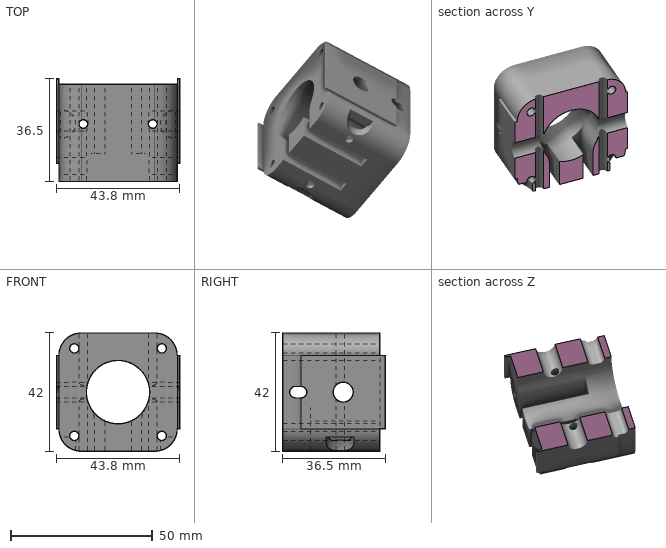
import cadquery as cq
import math

body_side = 42.0
body_depth = 34.5
corner_radius = 8.0
bore_diameter = 22.4

overall_width = 43.8
plate_front = 6.5
plate_back = 36.5
plate_middle_y = (plate_front + plate_back) / 2
plate_height = body_side - 2 * corner_radius

mount_pitch = 31.0
mount_diameter = 3.2

pin_y = 20.4
pin_x = 12.3
pin_diameter = 3.0
recess_x = 20.0
recess_diameter = 10.0
recess_ceiling = -15.9

side_hole_diameter = 7.0
side_hole_y = plate_middle_y
slot_length = 6.0
slot_width = 4.0
slot_y = 5.55

channel_front = 10.0
channel_inner_x = 4.7
channel_outer_x = 8.32
channel_round = 9.65


def along_y(y_start, y_end):
    """Sketch plane at y_start facing +Y, paired with the extrusion length.

    Local x is +X and local y is -Z.
    """
    plane = cq.Plane(origin=(0, y_start, 0), xDir=(1, 0, 0), normal=(0, 1, 0))
    return cq.Workplane(plane), y_end - y_start


def make_block():
    sketch, depth = along_y(0, body_depth)
    block = sketch.rect(body_side, body_side).extrude(depth)
    return block.edges("|Y").fillet(corner_radius)


def make_side_plate(side):
    thickness = (overall_width - body_side) / 2
    centre_x = side * (body_side + thickness) / 2
    plate = cq.Workplane("XY").box(thickness, plate_back - plate_front, plate_height)
    return plate.translate((centre_x, plate_middle_y, 0))


def make_bore():
    sketch, depth = along_y(0, body_depth)
    return sketch.circle(bore_diameter / 2).extrude(depth)


def make_mount_holes():
    sketch, depth = along_y(0, body_depth)
    corners = sketch.rect(mount_pitch, mount_pitch, forConstruction=True).vertices()
    return corners.circle(mount_diameter / 2).extrude(depth)


def make_side_openings():
    hole = cq.Workplane("YZ").center(side_hole_y, 0).circle(side_hole_diameter / 2)
    hole = hole.extrude(overall_width / 2, both=True)
    slot = cq.Workplane("YZ").center(slot_y, 0).slot2D(slot_length, slot_width)
    return hole.union(slot.extrude(overall_width / 2, both=True))


def make_pin_hole(side):
    hole = cq.Workplane("XY").center(side * pin_x, pin_y).circle(pin_diameter / 2)
    return hole.extrude(body_side / 2, both=True)


def make_corner_recess(side):
    recess = cq.Workplane("XY").workplane(offset=-body_side / 2)
    recess = recess.center(side * recess_x, pin_y).circle(recess_diameter / 2)
    return recess.extrude(recess_ceiling + body_side / 2)


def make_channel(side):
    bore_radius = bore_diameter / 2
    centre_x = channel_outer_x + channel_round
    centre_distance = bore_radius + channel_round
    centre_drop = math.sqrt(centre_distance**2 - centre_x**2)
    bore_touch = (
        side * bore_radius * centre_x / centre_distance,
        bore_radius * centre_drop / centre_distance,
    )
    half_angle = math.atan2(centre_drop, centre_x) / 2
    round_middle = (
        side * (centre_x - channel_round * math.cos(half_angle)),
        centre_drop - channel_round * math.sin(half_angle),
    )
    wall_touch = (side * channel_outer_x, centre_drop)

    sketch, depth = along_y(channel_front, body_depth)
    outline = sketch.moveTo(side * channel_inner_x, bore_touch[1]).lineTo(*bore_touch)
    outline = outline.threePointArc(round_middle, wall_touch)
    outline = outline.lineTo(side * channel_outer_x, body_side / 2)
    outline = outline.lineTo(side * channel_inner_x, body_side / 2).close()
    return outline.extrude(depth)


result = make_block()
for side in (-1, 1):
    result = result.union(make_side_plate(side))
result = result.cut(make_bore()).cut(make_mount_holes()).cut(make_side_openings())
for side in (-1, 1):
    result = result.cut(make_pin_hole(side))
    result = result.cut(make_corner_recess(side))
    result = result.cut(make_channel(side))